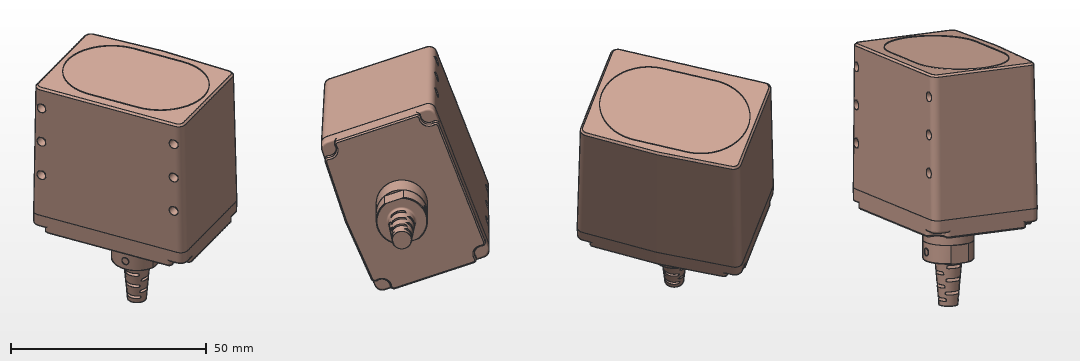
import cadquery as cq
import math


body_height = 43.0
parting_z = 4.95
socket_length = 6.2
collar_length = 4.95
cable_end_z = -23.2
socket_end_z = -socket_length
collar_end_z = socket_end_z - collar_length

body_width = 44.0
front_y = -16.35
back_peak_y = 15.4
back_fall = 1.0
back_corner_y = back_peak_y - back_fall
corner_radius = 2.0
draft_angle = 1.0

top_chamfer = 0.5
hole_diameter = 2.5
hole_depth = 3.0
drill_point_angle = 120.0
hole_spacing_x = 38.0
hole_pitch_z = 10.0
hole_rows = 3
top_hole_drop = 5.95

window_length = 39.0
window_width = 25.0
window_center_y = -0.5
window_thickness = 2.0
window_recess = 0.2
window_bottom_z = body_height - window_recess - window_thickness

foot_height = 1.5
foot_chamfer = 0.4
rim_fillet = 0.5
recess_radius = 2.1
recess_inset = 1.7
recess_blend = 1.0

socket_radius = 6.55
collar_radius = socket_radius
collar_chamfer = 0.2
across_flats = 12.05
pit_diameter = 2.0
pit_floor_y = 6.35
boot_top_radius = 3.45
boot_end_radius = 2.45
boot_blend = 0.45
slot_length = 4.0
slot_height = 0.85
slot_count = 6
first_slot_z = -12.65
last_slot_z = -21.45
slot_pitch = (first_slot_z - last_slot_z) / (slot_count - 1)


def behind_front(z_low, z_high):
    """Oversized block between two levels, reaching back from the flat front."""
    return (
        cq.Workplane("XY", origin=(0, front_y + body_width / 2, z_low))
        .rect(2 * body_width, body_width)
        .extrude(z_high - z_low)
    )


def drafted_block(far_z):
    """Body from the parting level to far_z: sides and back drafted inward, corners rounded."""
    half_width = body_width / 2
    hidden_front_y = front_y - corner_radius
    block = (
        cq.Workplane("XY", origin=(0, 0, parting_z))
        .polyline([
            (-half_width, hidden_front_y),
            (half_width, hidden_front_y),
            (half_width, back_corner_y),
            (0, back_peak_y),
            (-half_width, back_corner_y),
        ])
        .close()
        .extrude(far_z - parting_z, taper=draft_angle)
    )
    block = block.intersect(behind_front(min(far_z, parting_z), max(far_z, parting_z)))
    return block.edges("not(#Z or >Y)").fillet(corner_radius)


def window_plug(bottom_z, height):
    """Stadium-shaped plug used for both the window and its pocket."""
    return (
        cq.Workplane("XY", origin=(0, window_center_y, bottom_z))
        .slot2D(window_length, window_width)
        .extrude(height)
    )


def hole_drills():
    """Short drilled holes with a pointed floor, in a column down both edges of the front."""
    radius = hole_diameter / 2
    point_length = radius / math.tan(math.radians(drill_point_angle / 2))
    top_row_z = body_height - top_hole_drop
    drill = (
        cq.Workplane("XY")
        .polyline([(0, 0), (radius, 0), (radius, hole_depth), (0, hole_depth + point_length)])
        .close()
        .revolve(360, (0, 0, 0), (0, 1, 0))
    )
    return [
        drill.translate((side * hole_spacing_x / 2, front_y, top_row_z - row * hole_pitch_z))
        for side in (-1, 1)
        for row in range(hole_rows)
    ]


def make_housing():
    housing = drafted_block(body_height).faces(">Z").chamfer(top_chamfer)
    housing = housing.cut(window_plug(window_bottom_z, body_height - window_bottom_z))
    for drill in hole_drills():
        housing = housing.cut(drill)
    return housing


def make_window():
    return window_plug(window_bottom_z, window_thickness)


def make_feet(block, height):
    """Lowest layer of the base, with a round screw-head recess in each corner."""
    feet = block.intersect(behind_front(0, height))
    axis_x = body_width / 2 - recess_inset
    front_axis_y = front_y + recess_inset
    back_axis_y = back_corner_y - recess_inset
    recess_axes = [(side * axis_x, y) for side in (-1, 1) for y in (front_axis_y, back_axis_y)]
    recesses = cq.Workplane("XY").pushPoints(recess_axes).circle(recess_radius).extrude(height)
    feet = feet.cut(recesses)
    feet = feet.edges("not(#Z or >Z or <Z or >Y)").fillet(recess_blend)
    return feet.faces("<Z").chamfer(foot_chamfer)


def make_base():
    block = drafted_block(0)
    feet = make_feet(block, foot_height + rim_fillet)
    rim = block.intersect(behind_front(foot_height, parting_z)).faces("<Z").edges().fillet(rim_fillet)
    socket = cq.Workplane("XY").circle(socket_radius).extrude(-socket_length)
    return rim.union(feet).union(socket)


def make_collar():
    """Round collar with two flats and two pits."""
    collar = (
        cq.Workplane("XY", origin=(0, 0, collar_end_z))
        .circle(collar_radius)
        .extrude(collar_length)
        .faces("<Z").chamfer(collar_chamfer)
    )
    flats = cq.Workplane("XY", origin=(0, 0, collar_end_z)).rect(across_flats, 3 * collar_radius)
    collar = collar.intersect(flats.extrude(collar_length))

    pit_z = collar_end_z + collar_length / 2
    for side in (-1, 1):
        pit = cq.Solid.makeCylinder(
            pit_diameter / 2, collar_radius,
            cq.Vector(0, side * pit_floor_y, pit_z), cq.Vector(0, side, 0),
        )
        collar = collar.cut(cq.Workplane(pit))
    return collar


def make_boot():
    """Tapered strain relief, blended into the collar and crossed by slots in alternating directions."""
    middle_offset = boot_blend * (1 - math.sqrt(0.5))
    blend_top = (boot_top_radius + boot_blend, collar_end_z)
    blend_middle = (boot_top_radius + middle_offset, collar_end_z - middle_offset)
    blend_end = (boot_top_radius, collar_end_z - boot_blend)
    boot = (
        cq.Workplane("XZ")
        .moveTo(0, collar_end_z)
        .lineTo(*blend_top)
        .threePointArc(blend_middle, blend_end)
        .lineTo(boot_end_radius, cable_end_z)
        .lineTo(0, cable_end_z)
        .close()
        .revolve(360, (0, 0, 0), (0, 1, 0))
    )
    for index in range(slot_count):
        plane = "YZ" if index % 2 == 0 else "XZ"
        slot = (
            cq.Workplane(plane)
            .center(0, first_slot_z - index * slot_pitch)
            .slot2D(slot_length, slot_height)
            .extrude(2 * boot_top_radius, both=True)
        )
        boot = boot.cut(slot)
    return boot


def make_cable_plug():
    return make_collar().union(make_boot())


housing = make_housing()
window = make_window()
base = make_base()
cable_plug = make_cable_plug()

result = cq.Compound.makeCompound([housing.val(), window.val(), base.val(), cable_plug.val()])